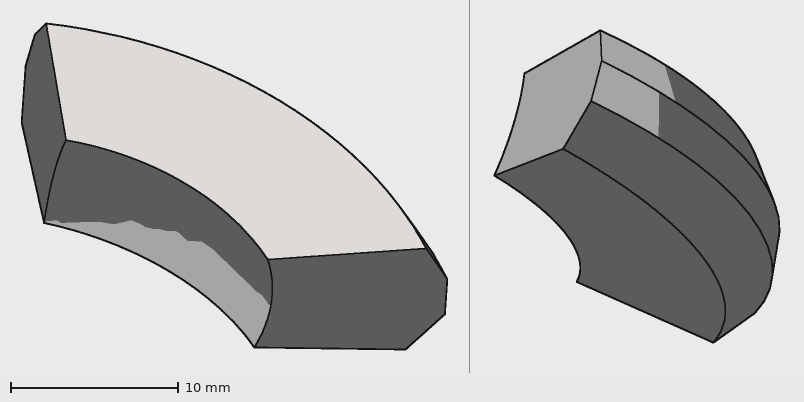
import cadquery as cq
import math

ring_tilt = 13.7

spread_angle = 4.2
face_radius = 20.4
top_height = 4.15
bottom_height = -3.68

inner_radius = 16.45
inner_center_height = 0.22
hollow_radius = 10.0
hollow_half_height = 8.0

upper_break_radius = 26.9
upper_break_height = 1.75
lower_break_radius = 27.1
lower_break_height = -1.0
upper_bevel_angle = 33.0
lower_bevel_angle = 37.5

side_angle = 43.4
side_apex = 5.73

blank_half_height = 10.0
blank_reach = 40.0
wedge_half_height = 15.0


def ring():
    """Full ring, hollowed inside and bevelled outside, taller than the segment."""
    upper_inset = (blank_half_height - upper_break_height) * math.tan(math.radians(upper_bevel_angle))
    lower_inset = (blank_half_height + lower_break_height) * math.tan(math.radians(lower_bevel_angle))
    hollow_rim = inner_radius - hollow_radius + math.sqrt(hollow_radius**2 - hollow_half_height**2)
    hollow_bottom = inner_center_height - hollow_half_height
    hollow_top = inner_center_height + hollow_half_height
    profile = (
        cq.Workplane("XZ")
        .moveTo(hollow_rim, hollow_bottom)
        .threePointArc((inner_radius, inner_center_height), (hollow_rim, hollow_top))
        .lineTo(upper_break_radius - upper_inset, blank_half_height)
        .lineTo(upper_break_radius, upper_break_height)
        .lineTo(lower_break_radius, lower_break_height)
        .lineTo(lower_break_radius - lower_inset, -blank_half_height)
        .close()
    )
    return profile.revolve(360, (0, 0, 0), (0, 1, 0))


def flat_slab():
    """Prism along X between the spreading top and bottom faces."""
    slope = math.tan(math.radians(spread_angle))
    top_at_axis = top_height - face_radius * slope
    bottom_at_axis = bottom_height + face_radius * slope
    return (
        cq.Workplane("YZ")
        .polyline([
            (0, bottom_at_axis),
            (blank_reach, bottom_at_axis - blank_reach * slope),
            (blank_reach, top_at_axis + blank_reach * slope),
            (0, top_at_axis),
        ])
        .close()
        .extrude(blank_reach, both=True)
    )


def side_wedge():
    """Triangular prism between the two side faces, square to the bottom face."""
    half_width = blank_reach * math.tan(math.radians(side_angle))
    far = side_apex + blank_reach
    wedge = (
        cq.Workplane("XY")
        .polyline([(0, side_apex), (half_width, far), (-half_width, far)])
        .close()
        .extrude(wedge_half_height, both=True)
    )
    return wedge.rotate((0, 0, 0), (1, 0, 0), -spread_angle)


segment = ring().intersect(flat_slab()).intersect(side_wedge())
result = segment.rotate((0, 0, 0), (1, 0, 0), -ring_tilt)